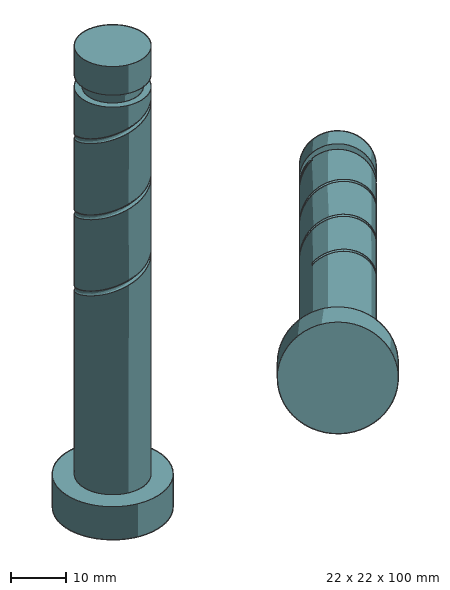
import cadquery as cq

total_height = 100.0
base_diameter = 22.0
base_height = 7.2
shaft_diameter = 14.0
shaft_radius = shaft_diameter / 2

neck_diameter = 11.2
neck_height = 2.6
cap_height = 6.2
neck_bottom = total_height - cap_height - neck_height

groove_pitch = 16.5
groove_turns = 3.0
groove_radius = 0.5
groove_start_height = 41.4
groove_start_angle = 90.0


def cylinder(diameter, height, bottom):
    return cq.Workplane("XY").workplane(offset=bottom).circle(diameter / 2).extrude(height)


def helical_cutter():
    """Round section swept along the helix, centred on the shaft surface."""
    path = cq.Wire.makeHelix(groove_pitch, groove_pitch * groove_turns, shaft_radius)
    section = (
        cq.Workplane("XZ")
        .center(shaft_radius, 0)
        .circle(groove_radius)
    )
    cutter = section.sweep(cq.Workplane(path), isFrenet=True)
    return (
        cutter.rotate((0, 0, 0), (0, 0, 1), groove_start_angle)
        .translate((0, 0, groove_start_height))
    )


base = cylinder(base_diameter, base_height, 0)
shaft = cylinder(shaft_diameter, neck_bottom - base_height, base_height)
neck = cylinder(neck_diameter, neck_height, neck_bottom)
cap = cylinder(shaft_diameter, cap_height, total_height - cap_height)

result = base.union(shaft.cut(helical_cutter())).union(neck).union(cap)